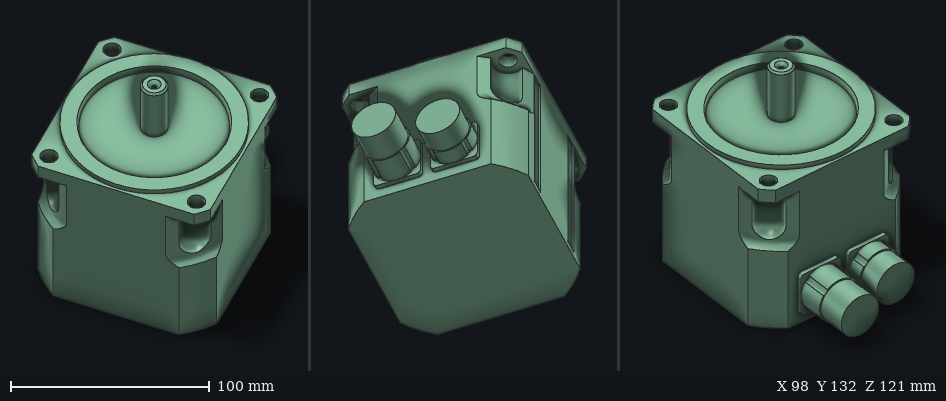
import cadquery as cq
import math

body_width = 98.0
flange_bottom = 83.0
flange_top = 91.0
flange_corner_radius = 65.0

lower_corner_radius = 59.9
upper_corner_radius = 56.0
corner_fillet_radius = 8.5
corner_fillet_top = 55.7

bolt_offset = 40.4
bolt_hole_diameter = 9.1
pocket_diameter = 17.7
pocket_ball_height = 61.9

rim_diameter = 95.0
rim_top = 93.7
recess_diameter = 77.9
recess_floor_diameter = 76.0
recess_depth = 3.7

shaft_diameter = 14.0
shaft_top = 121.0
shaft_chamfer = 1.0
centre_hole_diameter = 2.6
centre_hole_depth = 6.6
countersink_diameter = 6.9
countersink_depth = 2.0

slot_width = 8.0
slot_offset = 22.0
slot_bottom = 4.0
slot_depth = 1.0

connector_spacing = 30.9
connector_height = 19.0
plate_width = 25.6
plate_thickness = 2.6
plate_corner_radius = 2.5
screw_clearance_radius = 2.6
plug_diameter = 24.0
short_collar_length = 11.4
short_connector_length = 24.2
long_collar_length = 17.5
long_connector_length = 34.0

half_width = body_width / 2


def cone_cut(top_diameter, floor_diameter, top, depth):
    """Tapered round cutter on the Z axis, from its floor up to the given height."""
    return (
        cq.Workplane("XY", origin=(0, 0, top - depth))
        .circle(floor_diameter / 2)
        .workplane(offset=depth)
        .circle(top_diameter / 2)
        .loft()
    )


def make_body():
    """Square column whose corners are turned to the two corner radii."""
    fillet_centre_radius = upper_corner_radius + corner_fillet_radius
    end_angle = math.acos((fillet_centre_radius - lower_corner_radius) / corner_fillet_radius)

    def fillet_point(angle):
        return (
            fillet_centre_radius - corner_fillet_radius * math.cos(angle),
            corner_fillet_top - corner_fillet_radius * math.sin(angle),
        )

    turned_envelope = (
        cq.Workplane("XZ")
        .lineTo(lower_corner_radius, 0)
        .lineTo(*fillet_point(end_angle))
        .threePointArc(fillet_point(end_angle / 2), fillet_point(0))
        .lineTo(upper_corner_radius, flange_bottom)
        .lineTo(0, flange_bottom)
        .close()
        .revolve(360, (0, 0, 0), (0, 1, 0))
    )
    column = cq.Workplane("XY").rect(body_width, body_width).extrude(flange_bottom)
    return column.intersect(turned_envelope)


def make_flange():
    """Square flange with rounded corners, bolt holes and the locating rim."""
    flange = (
        cq.Workplane("XY", origin=(0, 0, flange_bottom))
        .rect(body_width, body_width)
        .extrude(flange_top - flange_bottom)
        .faces(">Z")
        .workplane()
        .rect(2 * bolt_offset, 2 * bolt_offset, forConstruction=True)
        .vertices()
        .hole(bolt_hole_diameter)
    )
    corner_envelope = (
        cq.Workplane("XY", origin=(0, 0, flange_bottom))
        .circle(flange_corner_radius)
        .extrude(flange_top - flange_bottom)
    )
    rim = (
        cq.Workplane("XY", origin=(0, 0, flange_top))
        .circle(rim_diameter / 2)
        .extrude(rim_top - flange_top)
    )
    return flange.intersect(corner_envelope).union(rim)


def corner_pockets():
    """Upright round-bottomed cutters, one in line with each bolt hole."""
    corners = (
        cq.Workplane("XY", origin=(0, 0, pocket_ball_height))
        .rect(2 * bolt_offset, 2 * bolt_offset, forConstruction=True)
        .vertices()
    )
    shanks = corners.circle(pocket_diameter / 2).extrude(flange_bottom - pocket_ball_height)
    balls = corners.sphere(pocket_diameter / 2)
    return shanks.union(balls)


def side_slots():
    """Cutters for the two upright slots that end under the flange."""
    return (
        cq.Workplane("YZ", origin=(-half_width, 0, 0))
        .pushPoints([(y, (slot_bottom + flange_bottom) / 2) for y in (-slot_offset, slot_offset)])
        .rect(slot_width, flange_bottom - slot_bottom)
        .extrude(slot_depth)
    )


def make_shaft():
    """Chamfered shaft rising from the recess floor, with its centre hole."""
    recess_floor = rim_top - recess_depth
    shaft = (
        cq.Workplane("XY", origin=(0, 0, recess_floor))
        .circle(shaft_diameter / 2)
        .extrude(shaft_top - recess_floor)
        .faces(">Z")
        .chamfer(shaft_chamfer)
        .faces(">Z")
        .workplane()
        .hole(centre_hole_diameter, centre_hole_depth)
    )
    return shaft.cut(
        cone_cut(countersink_diameter, centre_hole_diameter, shaft_top, countersink_depth)
    )


def make_motor():
    """Body, flange and shaft as one solid."""
    return (
        make_body()
        .cut(corner_pockets())
        .cut(side_slots())
        .union(make_flange())
        .cut(cone_cut(recess_diameter, recess_floor_diameter, rim_top, recess_depth))
        .union(make_shaft())
        .solids()
    )


def make_connector(x, collar_length, length):
    """Plate, round collar with four screw clearance grooves, and plug, along +Y from the body."""

    def section(start):
        return cq.Workplane("XZ", origin=(x, half_width + start, connector_height))

    plate = (
        section(0)
        .rect(plate_width, plate_width)
        .extrude(-plate_thickness)
        .edges("|Y")
        .fillet(plate_corner_radius)
    )
    screw_spacing = plate_width - 2 * plate_corner_radius
    grooves = (
        section(plate_thickness)
        .rect(screw_spacing, screw_spacing, forConstruction=True)
        .vertices()
        .circle(screw_clearance_radius)
        .extrude(plate_thickness - collar_length)
    )
    collar = section(plate_thickness).circle(plate_width / 2).extrude(plate_thickness - collar_length)
    plug = section(collar_length).circle(plug_diameter / 2).extrude(collar_length - length)
    return plate.union(collar.cut(grooves)).union(plug).solids()


motor = make_motor()
connectors = [
    make_connector(-connector_spacing / 2, short_collar_length, short_connector_length),
    make_connector(connector_spacing / 2, long_collar_length, long_connector_length),
]

result = cq.Compound.makeCompound([motor.val(), *[connector.val() for connector in connectors]])